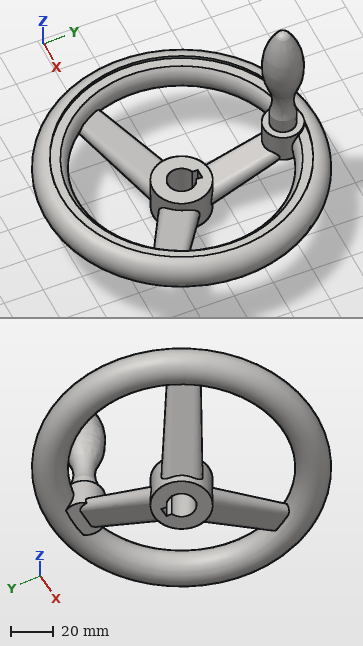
import cadquery as cq
import math

outer_radius = 70.0
rim_height = 17.0
rim_section_radius = rim_height / 2
rim_radius = outer_radius - rim_section_radius
rim_bottom = 19.0
rim_center_z = rim_bottom + rim_section_radius
rim_top = rim_bottom + rim_height
ledge_depth = 1.5

hub_radius = 14.5
hub_height = rim_bottom
bore_radius = 7.0
keyway_width = 4.9
keyway_reach = 9.4

spoke_angles = (90, 210, 330)
spoke_flat_width = 10.0
spoke_start_radius = 8.4
spoke_start_z = 6.9
spoke_end_z = rim_center_z
spoke_start_thickness = 9.7
spoke_end_thickness = 5.6

handle_y = 52.0
grip_radius = 10.0
boss_radius = grip_radius
boss_bottom = 20.0
shank_radius = 6.5
shank_top = 44.0
neck_radius = 5.0
neck_z = 52.0
grip_bottom = 2 * neck_z - shank_top
grip_widest_z = 76.2
tip_radius = 3.4
tip_z = 98.3
handle_top = 100.0


def make_rim():
    ring = (
        cq.Workplane("XZ")
        .center(rim_radius, rim_center_z)
        .circle(rim_section_radius)
        .revolve(360, (-rim_radius, 0), (-rim_radius, 1))
    )
    ledge = cq.Workplane("XY", origin=(0, 0, rim_top - ledge_depth)).circle(rim_radius).extrude(2 * ledge_depth)
    return ring.cut(ledge)


def make_spoke(angle):
    """Lofted spoke along +X, turned to its angle about the hub axis."""
    run = rim_radius - spoke_start_radius
    rise = spoke_end_z - spoke_start_z
    start_plane = cq.Plane(
        origin=(spoke_start_radius, 0, spoke_start_z),
        xDir=(0, 1, 0),
        normal=(run, 0, rise),
    )
    spoke = (
        cq.Workplane(start_plane)
        .slot2D(spoke_flat_width + spoke_start_thickness, spoke_start_thickness)
        .workplane(offset=math.hypot(run, rise))
        .slot2D(spoke_flat_width + spoke_end_thickness, spoke_end_thickness)
        .loft(ruled=True)
    )
    return spoke.rotate((0, 0, 0), (0, 0, 1), angle)


def make_boss():
    return (
        cq.Workplane("XY", origin=(0, handle_y, boss_bottom))
        .circle(boss_radius)
        .extrude(rim_top - boss_bottom)
    )


def make_handle():
    """Turned handle: straight shank, waisted neck, bulging grip and domed tip."""
    dome_height = handle_top - tip_z
    dome_radius = (tip_radius**2 + dome_height**2) / (2 * dome_height)
    dome_half_angle = math.asin(tip_radius / dome_radius) / 2
    dome_mid = (
        dome_radius * math.sin(dome_half_angle),
        handle_top - dome_radius * (1 - math.cos(dome_half_angle)),
    )
    return (
        cq.Workplane("XZ")
        .moveTo(0, boss_bottom)
        .lineTo(shank_radius, boss_bottom)
        .lineTo(shank_radius, shank_top)
        .threePointArc((neck_radius, neck_z), (shank_radius, grip_bottom))
        .threePointArc((grip_radius, grip_widest_z), (tip_radius, tip_z))
        .threePointArc(dome_mid, (0, handle_top))
        .close()
        .revolve(360, (0, 0), (0, 1))
        .translate((0, handle_y, 0))
    )


def make_bore():
    """Through bore with a keyway on its +Y side."""
    bore = cq.Workplane("XY").circle(bore_radius).extrude(hub_height)
    keyway = cq.Workplane("XY").box(
        keyway_width, keyway_reach, hub_height, centered=(True, False, False)
    )
    return bore.union(keyway)


wheel = cq.Workplane("XY").circle(hub_radius).extrude(hub_height)
for spoke_angle in spoke_angles:
    wheel = wheel.union(make_spoke(spoke_angle))

wheel = wheel.union(make_rim())
wheel = wheel.union(make_boss())
wheel = wheel.union(make_handle())

result = wheel.cut(make_bore())